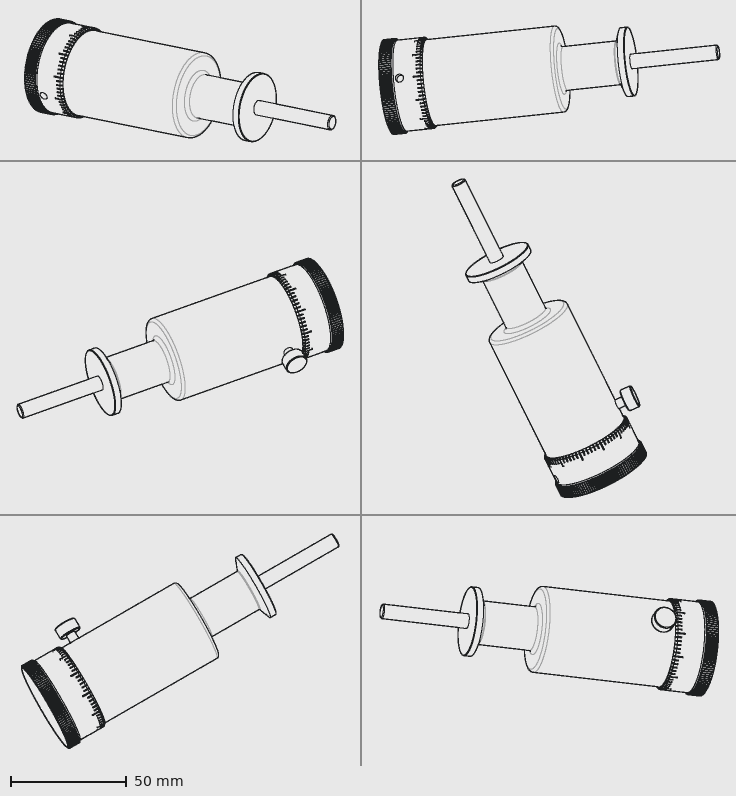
import cadquery as cq
import math

TOTAL_LENGTH = 145.8
TEETH_END = 5.5
KNOB_END = 6.3
COLLAR_END = 19.1
BODY_END = 76.7
NECK_END = 102.0
RIM_START = 104.2
FLANGE_END = 107.3

TOTAL_WIDTH = 48.1

KNOB_DIA = 41.3
KNOB_FACE_DIA = 39.4
TOOTH_ROOT_DIA = 39.5
COLLAR_DIA = 39.7
COLLAR_TIP_DIA = 37.9
BODY_DIA = 37.5
NECK_DIA = 19.1
FLANGE_DIA = 30.0
SHAFT_DIA = 6.4

KNOB_CHAMFER = 0.5
COLLAR_CHAMFER = 0.9
BODY_FILLET = 1.24
NECK_FILLET = 1.6
FLANGE_FILLET = 0.5
RIM_CHAMFER = 0.3
SHAFT_CHAMFER = 0.5

TOOTH_COUNT = 120
CREST_SHARE = 0.35
ROOT_SHARE = 0.15

TICK_COUNT = 72
TICKS_PER_LONG = 6
SCALE_ANGLE = 8.7
TICK_WIDTH = 0.36
TICK_DEPTH = 0.9
SHORT_TICK_START = 16.5
LONG_TICK_START = 14.9

SET_HOLE_X = 8.9
SET_HOLE_DIA = 3.5
SET_HOLE_DEPTH = 3.5
SET_HOLE_ANGLE = SCALE_ANGLE - TICKS_PER_LONG * 360 / TICK_COUNT

SCREW_X = 26.1
SCREW_TIP_Y = TOTAL_WIDTH - KNOB_DIA / 2
SCREW_HEAD_DIA = 9.9
SCREW_HEAD_HEIGHT = 5.1
SCREW_STEM_DIA = 4.2
SCREW_CHAMFER = 0.36


def polar_point(radius, angle):
    """Point at a radius and an angle in radians."""
    return (radius * math.cos(angle), radius * math.sin(angle))


def from_front(shape, angle):
    """Turn a shape built on the -Y side about X, towards +Z for positive angles."""
    return shape.rotate((0, 0, 0), (1, 0, 0), -angle)


def make_turned_parts():
    """Plain band behind the teeth, collar, body, neck, flange and shaft as one profile revolved about X."""
    neck_r = NECK_DIA / 2
    body_r = BODY_DIA / 2
    shaft_r = SHAFT_DIA / 2
    return (
        cq.Workplane("XY")
        .moveTo(TEETH_END, 0)
        .lineTo(TEETH_END, TOOTH_ROOT_DIA / 2)
        .lineTo(KNOB_END, TOOTH_ROOT_DIA / 2)
        .lineTo(KNOB_END, COLLAR_DIA / 2)
        .lineTo(COLLAR_END - COLLAR_CHAMFER, COLLAR_DIA / 2)
        .lineTo(COLLAR_END, COLLAR_TIP_DIA / 2)
        .lineTo(COLLAR_END, body_r)
        .lineTo(BODY_END - BODY_FILLET, body_r)
        .radiusArc((BODY_END, body_r - BODY_FILLET), BODY_FILLET)
        .lineTo(BODY_END, neck_r + NECK_FILLET)
        .radiusArc((BODY_END + NECK_FILLET, neck_r), -NECK_FILLET)
        .lineTo(NECK_END, neck_r)
        .lineTo(RIM_START, FLANGE_DIA / 2)
        .lineTo(FLANGE_END - RIM_CHAMFER, FLANGE_DIA / 2)
        .lineTo(FLANGE_END, FLANGE_DIA / 2 - RIM_CHAMFER)
        .lineTo(FLANGE_END, shaft_r)
        .lineTo(TOTAL_LENGTH - SHAFT_CHAMFER, shaft_r)
        .lineTo(TOTAL_LENGTH, shaft_r - SHAFT_CHAMFER)
        .lineTo(TOTAL_LENGTH, 0)
        .close()
        .revolve(360, (0, 0, 0), (1, 0, 0))
        .edges(cq.selectors.NearestToPointSelector((NECK_END, 0, 0)))
        .fillet(FLANGE_FILLET)
    )


def make_knob():
    """Disc with straight flat-topped teeth, chamfered below their roots at the flat face."""
    tip_r = KNOB_DIA / 2
    root_r = TOOTH_ROOT_DIA / 2
    pitch = 2 * math.pi / TOOTH_COUNT
    half_crest = CREST_SHARE * pitch / 2
    half_root = ROOT_SHARE * pitch / 2
    outline = []
    for i in range(TOOTH_COUNT):
        middle = i * pitch
        outline.append(polar_point(root_r, middle - half_root))
        outline.append(polar_point(root_r, middle + half_root))
        outline.append(polar_point(tip_r, middle + pitch / 2 - half_crest))
        outline.append(polar_point(tip_r, middle + pitch / 2 + half_crest))
    toothed = cq.Workplane("YZ").polyline(outline).close().extrude(TEETH_END)

    face_r = KNOB_FACE_DIA / 2
    envelope = (
        cq.Workplane("XY")
        .polyline([
            (0, 0),
            (0, face_r),
            (KNOB_CHAMFER, tip_r),
            (TEETH_END, tip_r),
            (TEETH_END, 0),
        ])
        .close()
        .revolve(360, (0, 0, 0), (1, 0, 0))
    )
    return toothed.intersect(envelope)


def make_tick(start):
    """Cutter for one graduation on the -Y side, running off the tapered collar end."""
    floor_y = -(COLLAR_DIA / 2 - TICK_DEPTH)
    length = COLLAR_END - start
    return cq.Workplane("XY").box(length, 2 * TICK_DEPTH, TICK_WIDTH).translate(
        (start + length / 2, floor_y - TICK_DEPTH, 0)
    )


def make_scale():
    """Cutters for all the graduations around the collar."""
    ticks = []
    for i in range(TICK_COUNT):
        start = LONG_TICK_START if i % TICKS_PER_LONG == 0 else SHORT_TICK_START
        tick = from_front(make_tick(start), SCALE_ANGLE + i * 360 / TICK_COUNT)
        ticks.append(tick.val())
    return cq.Workplane(cq.Compound.makeCompound(ticks))


def make_set_hole():
    """Cutter for the blind radial hole in the collar."""
    hole = (
        cq.Workplane("XZ", origin=(SET_HOLE_X, SET_HOLE_DEPTH - COLLAR_DIA / 2, 0))
        .circle(SET_HOLE_DIA / 2)
        .extrude(2 * SET_HOLE_DEPTH)
    )
    return from_front(hole, SET_HOLE_ANGLE)


def make_thumbscrew():
    """Stem rooted inside the body, with a round head chamfered at both ends."""
    stem = (
        cq.Workplane("XZ", origin=(SCREW_X, SCREW_TIP_Y, 0))
        .circle(SCREW_STEM_DIA / 2)
        .extrude(SCREW_TIP_Y - BODY_DIA / 4)
    )
    head = (
        cq.Workplane("XZ", origin=(SCREW_X, SCREW_TIP_Y, 0))
        .circle(SCREW_HEAD_DIA / 2)
        .extrude(SCREW_HEAD_HEIGHT)
        .edges()
        .chamfer(SCREW_CHAMFER)
    )
    return stem.union(head)


result = (
    make_turned_parts()
    .cut(make_scale())
    .cut(make_set_hole())
    .union(make_knob())
    .union(make_thumbscrew())
)